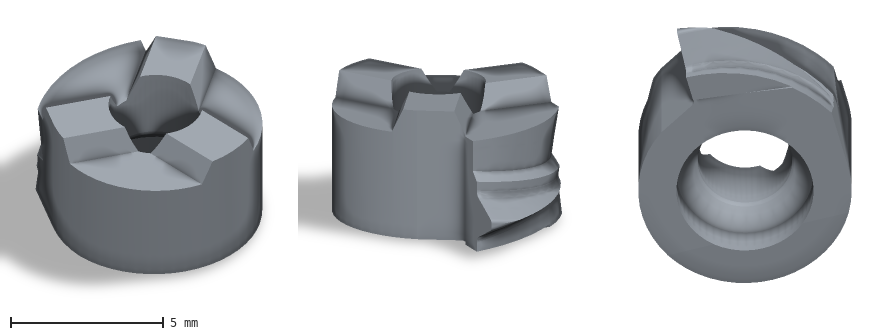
import cadquery as cq
import math

overall_length = 9.3

hub_diameter = 7.0
hub_radius = hub_diameter / 2
bore_diameter = 3.1
counterbore_diameter = 4.5
counterbore_depth = 1.925
seat_rounding = 0.22
seat_height = 3.59
rib_height = 0.81
total_height = seat_height + rib_height

rib_count = 3
rib_base_width = 2.455
rib_top_width = 1.69
first_rib_angle = 30.0

rake_y = 0.74
gullet_start_angle = 143.7
gullet_angle = 60.0
gullet_radius = 0.19

crest_height = 1.1
crest_x = hub_radius - overall_length
crest_half_width = 0.16
crest_rounding = 0.09
root_x = -4.64
root_half_width = 0.735
root_rounding = 0.15
shoulder_x = -4.32
shoulder_start = 1.19
shoulder_end = 1.47

relief_axis_x = 0.42
relief_tilt = 9.2

lip_drop = 0.1
lip_inner_x = -3.77
lip_end_x = -3.31
lip_end_y = -2.49
lip_end_rise = 0.09
heel_start_x = 1.67
heel_rise = 0.08

overrun = 0.93


def flank_blank(with_shoulder):
    """Round blank above the crest plane, turned about the tilted relief axis."""
    tilt = math.radians(relief_tilt)
    flank_angle = math.atan2(root_half_width - crest_half_width, root_x - crest_x)
    axis_height = seat_height - crest_height

    def at(x, height):
        above_origin = height - axis_height
        radius = math.hypot(relief_axis_x - x, above_origin * math.sin(tilt))
        return (radius, above_origin * math.cos(tilt))

    def along_flank(x, height, distance):
        return at(x + distance * math.cos(flank_angle), height + distance * math.sin(flank_angle))

    radius_per_tangent = 1 / math.tan((math.pi / 2 - flank_angle) / 2)
    crest_radius = crest_rounding * radius_per_tangent
    root_radius = root_rounding * radius_per_tangent

    top = total_height + overrun
    profile = (
        cq.Workplane("XZ")
        .moveTo(0, at(0, -overrun)[1])
        .lineTo(*at(crest_x, -overrun))
        .lineTo(*at(crest_x, crest_half_width - crest_rounding))
        .radiusArc(along_flank(crest_x, crest_half_width, crest_rounding), -crest_radius)
        .lineTo(*along_flank(root_x, root_half_width, -root_rounding))
        .radiusArc(at(root_x, root_half_width + root_rounding), root_radius)
    )
    if with_shoulder:
        profile = (
            profile
            .lineTo(*at(root_x, shoulder_start))
            .lineTo(*at(shoulder_x, shoulder_end))
            .lineTo(*at(shoulder_x, top))
        )
    else:
        profile = profile.lineTo(*at(root_x, top))
    turned = (
        profile.lineTo(0, at(0, top)[1]).close()
        .revolve(360, (0, 0, 0), (0, 1, 0))
        .rotate((0, 0, 0), (1, 0, 0), relief_tilt)
        .translate((relief_axis_x, rake_y, seat_height))
    )
    above_crest = (
        cq.Workplane("XY").workplane(offset=crest_height)
        .rect(4 * hub_diameter, 4 * hub_diameter).extrude(total_height)
    )
    return turned.intersect(above_crest)


def plan_blank():
    """Hub outline with the gullet, the rake face and the front flat, tall enough for every feature."""
    start_angle = math.radians(gullet_start_angle)
    gullet_start = (hub_radius * math.cos(start_angle), hub_radius * math.sin(start_angle))
    corner_x = gullet_start[0] - (gullet_start[1] - rake_y) / math.tan(math.radians(gullet_angle))
    outer_x = crest_x - overrun
    blank = (
        cq.Workplane("XY").workplane(offset=-lip_drop)
        .moveTo(0, -hub_radius)
        .threePointArc((hub_radius, 0), gullet_start)
        .lineTo(corner_x, rake_y)
        .lineTo(outer_x, rake_y)
        .lineTo(outer_x, -hub_radius)
        .close()
        .extrude(total_height + lip_drop)
    )
    gullet_corner = cq.selectors.NearestToPointSelector((corner_x, rake_y, total_height / 2))
    return blank.edges(gullet_corner).fillet(gullet_radius)


def coupling_space():
    """Everything above the seat except the three sloping-sided ribs."""
    space = (
        cq.Workplane("XY").workplane(offset=seat_height)
        .rect(4 * hub_diameter, 4 * hub_diameter).extrude(rib_height + overrun)
    )
    rib = (
        cq.Workplane("YZ")
        .moveTo(-rib_base_width / 2, seat_height)
        .lineTo(rib_base_width / 2, seat_height)
        .lineTo(rib_top_width / 2, total_height)
        .lineTo(-rib_top_width / 2, total_height)
        .close()
        .extrude(hub_diameter)
    )
    for index in range(rib_count):
        angle = first_rib_angle + index * 360 / rib_count
        space = space.cut(rib.rotate((0, 0, 0), (0, 0, 1), angle))
    return space


def screw_hole():
    """Through bore widening over a 45 degree seat into the counterbore."""
    bore_radius = bore_diameter / 2
    counterbore_radius = counterbore_diameter / 2
    seat_cone_height = counterbore_radius - bore_radius
    hole = (
        cq.Workplane("XZ")
        .moveTo(0, -overrun)
        .lineTo(counterbore_radius, -overrun)
        .lineTo(counterbore_radius, counterbore_depth - seat_cone_height)
        .lineTo(bore_radius, counterbore_depth)
        .lineTo(bore_radius, total_height + overrun)
        .lineTo(0, total_height + overrun)
        .close()
        .revolve(360, (0, 0, 0), (0, 1, 0))
    )
    seat_edge = cq.selectors.BoxSelector(
        (-bore_radius, -bore_radius, counterbore_depth - seat_rounding),
        (bore_radius, bore_radius, counterbore_depth + seat_rounding),
        boundingbox=False,
    )
    return hole.edges("%CIRCLE").edges(seat_edge).fillet(seat_rounding)


def underside_waste():
    """Material below the flat underside, the end lip's ramp and the heel relief."""
    outer_x = crest_x - overrun
    lip_strip = (
        cq.Workplane("XY").workplane(offset=-overrun)
        .moveTo(outer_x, rake_y)
        .lineTo(lip_inner_x, rake_y)
        .lineTo(lip_end_x, lip_end_y)
        .lineTo(outer_x, lip_end_y)
        .close()
        .extrude(2 * overrun)
    )
    ramp = (
        cq.Workplane("YZ").workplane(offset=outer_x)
        .moveTo(rake_y, -overrun)
        .lineTo(rake_y, -lip_drop)
        .lineTo(lip_end_y, lip_end_rise)
        .lineTo(lip_end_y, -overrun)
        .close()
        .extrude(-outer_x)
    )
    below_hub = (
        cq.Workplane("XY").rect(4 * hub_diameter, 4 * hub_diameter).extrude(-overrun)
    )
    heel = (
        cq.Workplane("XZ").workplane(offset=-hub_diameter)
        .moveTo(heel_start_x, 0)
        .lineTo(hub_radius, heel_rise)
        .lineTo(hub_radius, 0)
        .close()
        .extrude(2 * hub_diameter)
    )
    return below_hub.cut(lip_strip).union(ramp.intersect(lip_strip)).union(heel)


upper_flank = flank_blank(with_shoulder=True)
lower_flank = flank_blank(with_shoulder=False).mirror("XY", (0, 0, crest_height))
plan = plan_blank()
insert = plan.intersect(upper_flank).union(plan.intersect(lower_flank))
insert = insert.cut(coupling_space()).cut(screw_hole()).cut(underside_waste())

tip_space = (
    cq.Workplane("XY")
    .box(2 * overrun, 2 * hub_diameter, 2 * (root_half_width + root_rounding))
    .translate((root_x - overrun, 0, crest_height))
)
cutter_body = insert.cut(tip_space)
tooth_tip = insert.intersect(tip_space)

result = cq.Compound.makeCompound([*cutter_body.solids().vals(), *tooth_tip.solids().vals()])